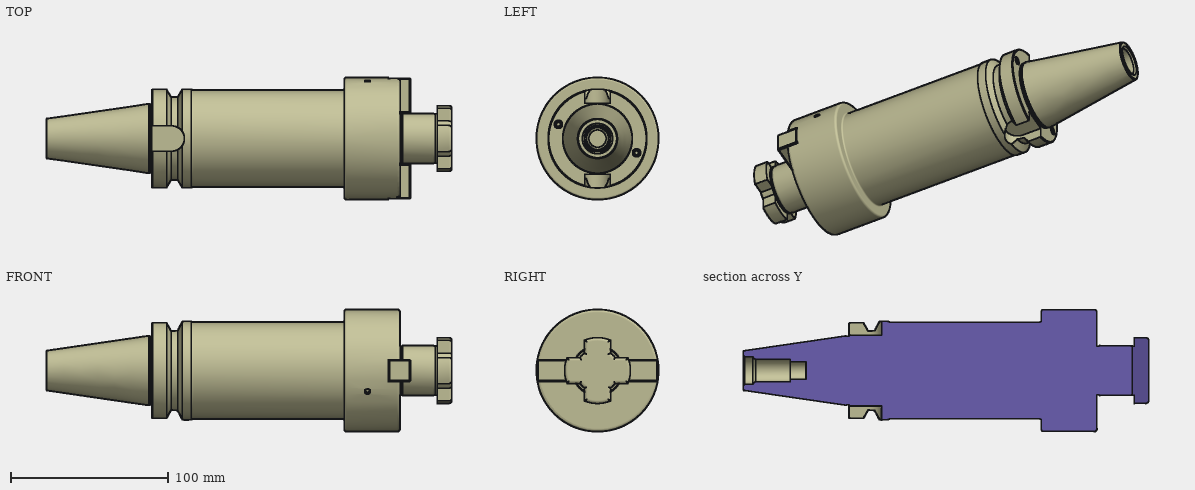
import cadquery as cq
import math


taper_length = 65.4
gauge_radius = 44.45 / 2
taper_ratio = 7 / 24
small_end_radius = gauge_radius - taper_length * taper_ratio / 2
small_end_chamfer = 0.5

bore_radius = 8.5
bore_chamfer = 1.2
bore_depth = 6.3
thread_mouth_radius = 8.0
thread_radius = 7.0
thread_chamfer_length = 1.7
thread_depth = 30.0
pilot_radius = 5.5
pilot_depth = 40.0

flange_start = 2.0
flange_end = 27.0
flange_radius = 31.5
flange_chamfer = 0.5
neck_relief_depth = 0.3
neck_relief_slope = 0.9
neck_radius = gauge_radius - neck_relief_depth
groove_floor_radius = 26.5
groove_floor_start = 14.2
groove_floor_end = 18.4
groove_slope_length = 2.9

keyway_width = 16.1
keyway_end = 22.7
keyway_floor = 22.6

body_radius = 31.0
collar_root_fillet = 1.0
flange_root_fillet = 2.0
flange_root_rise = flange_root_fillet - (flange_radius - body_radius)
flange_root_length = math.sqrt(flange_root_fillet**2 - flange_root_rise**2)
collar_start = 124.4
collar_end = 160.0
collar_radius = 39.0
collar_back_fillet = 1.5
collar_front_fillet = 2.0

arbor_radius = 16.0
arbor_end = 182.4
arbor_chamfer_length = 1.4
arbor_chamfer_depth = 0.4
relief_radius = 15.5
relief_length = 0.8
relief_slope = 0.8

key_width = 14.0
key_start = 152.5
key_length = 14.1
key_inner = 16.3
key_outer = 38.5
key_chamfer = 0.8
slot_overrun = 1.0

port_angle = 20.0
flange_port_offset = 26.5
flange_port_radius = 2.1
flange_port_chamfer = 0.5
flange_port_depth = 9.0
set_screw_recess = 0.5
set_screw_length = 5.0
set_screw_hex = 2.5
set_screw_hex_depth = 2.5
collar_port_x = 139.2
collar_port_radius = 1.75
collar_port_depth = 3.5

screw_collar_radius = 15.8
head_start = 183.5
head_end = 193.0
head_radius = 21.0
head_core_radius = 13.9
head_lobe_width = 16.6
head_fillet = 2.0

half_turns = (0, 180)


def cylinder_x(radius, start, length):
    """Cylinder along X, from X = start."""
    return cq.Workplane("YZ").workplane(offset=start).circle(radius).extrude(length)


def cone_x(start_radius, end_radius, start, length):
    """Cone frustum along X, from X = start."""
    return (
        cq.Workplane("YZ")
        .workplane(offset=start)
        .circle(start_radius)
        .workplane(offset=length)
        .circle(end_radius)
        .loft()
    )


def turned_blank():
    """Shank, flange, body, collar and arbor turned about the X axis."""
    profile = (
        cq.Workplane("XZ")
        .moveTo(-taper_length, 0)
        .lineTo(-taper_length, small_end_radius - small_end_chamfer)
        .lineTo(small_end_chamfer - taper_length, small_end_radius + small_end_chamfer * taper_ratio / 2)
        .lineTo(0, gauge_radius)
        .lineTo(neck_relief_slope, neck_radius)
        .lineTo(flange_start, neck_radius)
        .lineTo(flange_start, flange_radius - flange_chamfer)
        .lineTo(flange_start + flange_chamfer, flange_radius)
        .lineTo(groove_floor_start - groove_slope_length, flange_radius)
        .lineTo(groove_floor_start, groove_floor_radius)
        .lineTo(groove_floor_end, groove_floor_radius)
        .lineTo(groove_floor_end + groove_slope_length, flange_radius)
        .lineTo(flange_end, flange_radius)
        .radiusArc((flange_end + flange_root_length, body_radius), -flange_root_fillet)
        .lineTo(collar_start - collar_root_fillet, body_radius)
        .radiusArc((collar_start, body_radius + collar_root_fillet), -collar_root_fillet)
        .lineTo(collar_start, collar_radius - collar_back_fillet)
        .radiusArc((collar_start + collar_back_fillet, collar_radius), collar_back_fillet)
        .lineTo(collar_end - collar_front_fillet, collar_radius)
        .radiusArc((collar_end, collar_radius - collar_front_fillet), collar_front_fillet)
        .lineTo(collar_end, relief_radius)
        .lineTo(collar_end + relief_length, relief_radius)
        .lineTo(collar_end + relief_length + relief_slope, arbor_radius)
        .lineTo(arbor_end - arbor_chamfer_length, arbor_radius)
        .lineTo(arbor_end, arbor_radius - arbor_chamfer_depth)
        .lineTo(arbor_end, 0)
        .close()
    )
    return profile.revolve(360, (0, 0, 0), (1, 0, 0))


def drawbar_bore():
    """Stepped blind bore with chamfers at the mouth and at the start of the thread."""
    mouth = cone_x(bore_radius + bore_chamfer, bore_radius, -taper_length, bore_chamfer)
    thread_mouth = cone_x(
        thread_mouth_radius, thread_radius, bore_depth - taper_length, thread_chamfer_length
    )
    return (
        cylinder_x(bore_radius, -taper_length, bore_depth)
        .union(cylinder_x(thread_radius, -taper_length, thread_depth))
        .union(cylinder_x(pilot_radius, -taper_length, pilot_depth))
        .union(mouth)
        .union(thread_mouth)
    )


def keyway():
    """Round-ended slot in the +Z side of the flange."""
    end_radius = keyway_width / 2
    straight_end = keyway_end - end_radius
    return (
        cq.Workplane("XY")
        .workplane(offset=keyway_floor)
        .moveTo(0, -end_radius)
        .lineTo(straight_end, -end_radius)
        .threePointArc((keyway_end, 0), (straight_end, end_radius))
        .lineTo(0, end_radius)
        .close()
        .extrude(flange_radius)
    )


def drive_key():
    """Chamfered block on the -Y side."""
    return (
        cq.Workplane("XY")
        .box(key_length, key_outer - key_inner, key_width, centered=(False, False, True))
        .translate((key_start, -key_outer, 0))
        .edges()
        .chamfer(key_chamfer)
    )


def key_slot():
    """Slot for a drive key, open at the side and the front of the collar."""
    slot_depth = collar_radius + slot_overrun - key_inner
    return (
        cq.Workplane("XY")
        .box(key_length, slot_depth, key_width, centered=(False, False, True))
        .translate((key_start, -key_inner - slot_depth, 0))
    )


def flange_port():
    """Hole in the flange face, on the +Y side, with a chamfered mouth."""
    mouth_radius = flange_port_radius + flange_port_chamfer
    mouth = cone_x(mouth_radius, flange_port_radius, flange_start, flange_port_chamfer)
    hole = cylinder_x(flange_port_radius, flange_start, flange_port_depth)
    return hole.union(mouth).translate((0, flange_port_offset, 0))


def set_screw():
    """Set screw with a hexagon socket, seated in the flange port on the +Y side."""
    screw_start = flange_start + set_screw_recess
    socket = (
        cq.Workplane("YZ")
        .workplane(offset=screw_start)
        .polygon(6, set_screw_hex / math.cos(math.pi / 6))
        .extrude(set_screw_hex_depth)
    )
    return (
        cylinder_x(flange_port_radius, screw_start, set_screw_length)
        .cut(socket)
        .translate((0, flange_port_offset, 0))
    )


def collar_port():
    """Radial hole in the collar, on the +Y side."""
    floor = collar_radius - collar_port_depth
    return (
        cq.Workplane("XZ")
        .workplane(offset=-floor)
        .center(collar_port_x, 0)
        .circle(collar_port_radius)
        .extrude(-2 * collar_port_depth)
    )


def turned(shape, angle):
    """Shape turned about the X axis."""
    return shape.rotate((0, 0, 0), (1, 0, 0), angle)


def make_holder():
    """Turned blank with the bore, keyways, key slots and coolant ports cut into it."""
    holder = turned_blank().cut(drawbar_bore())
    for turn in half_turns:
        holder = holder.cut(turned(keyway(), turn))
        holder = holder.cut(turned(key_slot(), turn))
        holder = holder.cut(turned(flange_port(), port_angle + turn))
        holder = holder.cut(turned(collar_port(), port_angle + turn))
    return holder


def make_clamping_screw():
    """Cross-shaped head on a short round collar."""
    head_length = head_end - head_start
    cross = cylinder_x(head_core_radius, head_start, head_length)
    for size_y, size_z in ((2 * head_radius, head_lobe_width), (head_lobe_width, 2 * head_radius)):
        bar = cq.Workplane("YZ").workplane(offset=head_start).rect(size_y, size_z).extrude(head_length)
        cross = cross.union(bar.intersect(cylinder_x(head_radius, head_start, head_length)))
    cross = cross.faces(">X").edges().fillet(head_fillet)
    return cross.union(cylinder_x(screw_collar_radius, arbor_end, head_start - arbor_end))


holder = make_holder()
clamping_screw = make_clamping_screw()
drive_keys = [turned(drive_key(), turn) for turn in half_turns]
set_screws = [turned(set_screw(), port_angle + turn) for turn in half_turns]

result = cq.Compound.makeCompound(
    [holder.val(), clamping_screw.val()]
    + [key.val() for key in drive_keys]
    + [screw.val() for screw in set_screws]
)